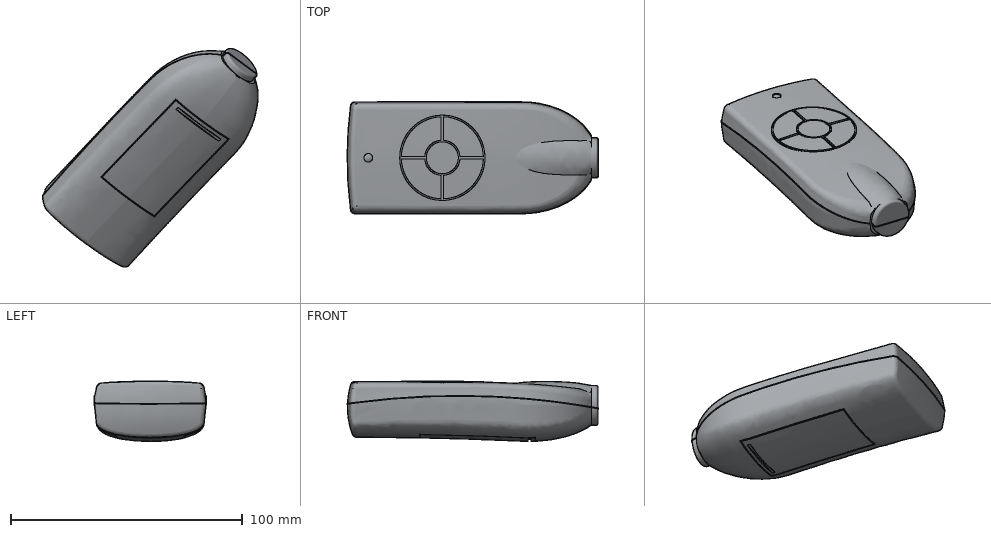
import cadquery as cq
import math


LENGTH = 108.22
HALF_WIDTH = 24.02
NOSE_START_X = 75.0
NOSE_REACH = 33.0
BODY_END_X = 105.3
TAPER = 0.972

TOP_EDGE_Z = 25.35
TOP_HALF_WIDTH = 20.8
TOP_NOSE_REACH = 26.6
TOP_CROWN_RADIUS = 333.0
TOP_DROP_START_X = 40.0
TOP_DROP_RADIUS = 705.0
CORNER_LOW_Z = 22.75

PARTING_PEAK_X = 48.0
PARTING_PEAK_Z = 19.75
PARTING_RADIUS = 333.0
CORNER_PULL = 0.55
CORNER_RISE = CORNER_LOW_Z - PARTING_PEAK_Z
LIP_HEIGHT = 0.35
LIP_OVERHANG = 0.15

BELLY_X = 78.0
BELLY_RISE = 1.85
BELLY_NOSE_REACH = 31.8
BELLY_NOSE_HEIGHT = 14.7
BELLY_SIDE_PULL = 0.63
BELLY_BOTTOM_PULL = 0.6
BELLY_SIDE_SHARE = 0.44

END_PLAN_RADIUS = 177.0
END_SIDE_RADIUS = 34.0
END_CENTER_Z = 15.0
END_FILLET = 2.0
END_HALF_HEIGHT = 20.0

COLLAR_Z = 15.65
COLLAR_RADIUS = 8.65
COLLAR_RIM_FILLET = 1.0
COLLAR_START_X = BODY_END_X
TONGUE_SECTIONS = [
    (72.5, 10.8, 9.5),
    (79.0, 12.4, 10.2),
    (86.0, 12.6, 10.35),
    (95.0, 11.65, 10.05),
    (101.0, 10.7, 9.5),
    (COLLAR_START_X, COLLAR_RADIUS, COLLAR_RADIUS),
]

KEYPAD_X = 41.0
KEYPAD_RADIUS = 18.4
KEY_OUTER_RADIUS = 17.7
CENTER_GAP_OUTER_RADIUS = 7.6
CENTER_KEY_RADIUS = 6.9
KEY_GAP = 1.2
KEYPAD_FLOOR_Z = 25.1
KEY_PROUD = 0.13

LAMP_X = 9.05
LAMP_RADIUS = 1.85
LAMP_DEPTH = 0.5

COVER_START_X = 31.2
COVER_END_X = 81.3
COVER_HALF_WIDTH = 15.0
COVER_GAP = 0.25
COVER_GAP_DEPTH = 0.5
NOTCH_X = 78.7
NOTCH_LENGTH = 1.3
NOTCH_TOP_Z = 1.0
NOTCH_HALF_WIDTH = 12.0

SECTION_XS = [-2.0, 6.0, 20.0, 35.0, 52.0, 66.0, 74.0, 80.0, 87.0, 93.0, 98.0, 102.0, BODY_END_X]
ELLIPSE_LIMIT = 0.99
MARGIN = 5.0


def ellipse_share(x, start, reach):
    """Fraction of full height left on an ellipse quadrant that begins at start."""
    along = min(max(x - start, 0) / reach, ELLIPSE_LIMIT)
    return math.sqrt(1 - along**2)


def parting_z(x):
    return PARTING_PEAK_Z - (x - PARTING_PEAK_X) ** 2 / (2 * PARTING_RADIUS)


def top_edge_z(x):
    return TOP_EDGE_Z - max(x - TOP_DROP_START_X, 0) ** 2 / (2 * TOP_DROP_RADIUS)


def top_half_width(x):
    return TOP_HALF_WIDTH * ellipse_share(x, NOSE_START_X, TOP_NOSE_REACH)


def crown_z(x):
    """Height of the crowned top face on the symmetry plane."""
    return top_edge_z(x) + TOP_CROWN_RADIUS - math.sqrt(TOP_CROWN_RADIUS**2 - top_half_width(x) ** 2)


def bottom_z(x):
    if x < BELLY_X:
        return BELLY_RISE * (1 - (x / BELLY_X) ** 2)
    return BELLY_NOSE_HEIGHT * (1 - ellipse_share(x, BELLY_X, BELLY_NOSE_REACH))


def section(x, grow):
    """Closed cross-section wire of the shell at x, widened by grow."""
    nose_share = ellipse_share(x, NOSE_START_X, NOSE_REACH)
    half = HALF_WIDTH * nose_share + grow
    side = half * TAPER
    top_half = top_half_width(x)
    edge_z = top_edge_z(x)
    corner_z = CORNER_LOW_Z if x < PARTING_PEAK_X else parting_z(x) + CORNER_RISE
    seam_z = parting_z(x)
    low_z = bottom_z(x)
    belly_share = 1 - (1 - BELLY_SIDE_SHARE) * nose_share
    round_z = low_z + belly_share * (seam_z - low_z)
    lead = (side - top_half) * CORNER_PULL
    corner = [
        (top_half, edge_z),
        (top_half + lead, edge_z - lead * math.tan(math.asin(top_half / TOP_CROWN_RADIUS))),
        (side, corner_z + (edge_z - corner_z) * CORNER_PULL),
        (side, corner_z),
    ]
    belly = [
        (side, round_z),
        (side, round_z - (round_z - low_z) * BELLY_SIDE_PULL),
        (side * BELLY_BOTTOM_PULL, low_z),
        (0, low_z),
    ]

    def mirrored(points):
        return [(-y, z) for y, z in reversed(points)]

    plane = cq.Workplane("YZ", origin=(x, 0, 0))
    return (
        plane.moveTo(-top_half, edge_z)
        .threePointArc((0, crown_z(x)), (top_half, edge_z))
        .bezier(corner, includeCurrent=False)
        .spline([(half, seam_z), (side, round_z)], tangents=[(0, -1), (0, -1)], includeCurrent=True)
        .bezier(belly)
        .bezier(mirrored(belly))
        .spline([(-half, seam_z), (-side, corner_z)], tangents=[(0, 1), (0, 1)], includeCurrent=True)
        .bezier(mirrored(corner))
        .wire()
        .val()
    )


def shell(grow):
    """Lofted body with the doubly curved blunt end."""
    body = cq.Workplane(cq.Solid.makeLoft([section(x, grow) for x in SECTION_XS]))
    rim_radius = END_PLAN_RADIUS - END_SIDE_RADIUS + math.sqrt(END_SIDE_RADIUS**2 - END_HALF_HEIGHT**2) + grow
    end = (
        cq.Workplane("XZ", origin=(END_PLAN_RADIUS, 0, END_CENTER_Z))
        .moveTo(0, -END_HALF_HEIGHT)
        .lineTo(rim_radius, -END_HALF_HEIGHT)
        .threePointArc((END_PLAN_RADIUS + grow, 0), (rim_radius, END_HALF_HEIGHT))
        .lineTo(0, END_HALF_HEIGHT)
        .close()
        .revolve(360, (0, 0), (0, 1))
    )
    body = body.intersect(end)
    return body.faces("<X").edges().fillet(END_FILLET)


def tongue_section(x, half_width, half_height):
    plane = cq.Workplane("YZ", origin=(x, 0, COLLAR_Z))
    return plane.ellipse(half_width, half_height).wire().val()


def collar(grow):
    """Round collar whose front part rises through the top face as a tongue."""
    tongue = cq.Solid.makeLoft([tongue_section(x, w + grow, h + grow) for x, w, h in TONGUE_SECTIONS])
    ring = (
        cq.Workplane("YZ", origin=(COLLAR_START_X, 0, COLLAR_Z))
        .circle(COLLAR_RADIUS + grow)
        .extrude(LENGTH + grow - COLLAR_START_X)
        .faces(">X")
        .edges()
        .fillet(COLLAR_RIM_FILLET)
    )
    return ring.union(cq.Workplane(tongue))


def housing(grow):
    return shell(grow).union(collar(grow))


def seam_slab():
    """Thin arched slab that follows the parting line through the whole part."""
    start_x = -MARGIN
    end_x = LENGTH + MARGIN
    half = LIP_HEIGHT / 2

    def point(x, offset):
        return (x, parting_z(x) + offset)

    return (
        cq.Workplane("XZ")
        .moveTo(*point(start_x, half))
        .threePointArc(point(PARTING_PEAK_X, half), point(end_x, half))
        .lineTo(*point(end_x, -half))
        .threePointArc(point(PARTING_PEAK_X, -half), point(start_x, -half))
        .close()
        .extrude(HALF_WIDTH + MARGIN, both=True)
    )


def keypad_disc(radius):
    return cq.Workplane("XY", origin=(KEYPAD_X, 0, KEYPAD_FLOOR_Z)).circle(radius).extrude(MARGIN)


def keys(body):
    """Round centre key and four ring sectors, slightly proud of the top face."""
    ring = keypad_disc(KEY_OUTER_RADIUS).cut(keypad_disc(CENTER_GAP_OUTER_RADIUS))
    for length, width in ((2 * KEYPAD_RADIUS, KEY_GAP), (KEY_GAP, 2 * KEYPAD_RADIUS)):
        gap = cq.Workplane("XY", origin=(KEYPAD_X, 0, KEYPAD_FLOOR_Z)).rect(length, width).extrude(MARGIN)
        ring = ring.cut(gap)
    center = keypad_disc(CENTER_KEY_RADIUS)
    raised = body.translate((0, 0, KEY_PROUD))
    return [raised.intersect(center), raised.intersect(ring)]


def lamp_recess():
    """Round pocket in the top face with a shallow dome left standing on its floor."""
    floor_z = crown_z(LAMP_X) - LAMP_DEPTH
    pocket = cq.Workplane("XY", origin=(LAMP_X, 0, floor_z)).circle(LAMP_RADIUS).extrude(MARGIN)
    dome_radius = (LAMP_RADIUS**2 + LAMP_DEPTH**2) / (2 * LAMP_DEPTH)
    dome = cq.Workplane("XY", origin=(LAMP_X, 0, floor_z + LAMP_DEPTH - dome_radius)).sphere(dome_radius)
    return pocket.cut(dome)


def cover_gap():
    """Narrow frame that outlines the battery cover; its depth follows the bottom."""
    length = COVER_END_X - COVER_START_X
    width = 2 * COVER_HALF_WIDTH
    height = PARTING_PEAK_Z / 2
    center_x = (COVER_START_X + COVER_END_X) / 2
    return (
        cq.Workplane("XY", origin=(center_x, 0, -MARGIN))
        .rect(length, width)
        .rect(length - 2 * COVER_GAP, width - 2 * COVER_GAP)
        .extrude(height + MARGIN)
    )


def notch():
    """Fingernail notch that opens the battery cover."""
    return (
        cq.Workplane("XY", origin=(NOTCH_X, 0, NOTCH_TOP_Z))
        .rect(NOTCH_LENGTH, 2 * NOTCH_HALF_WIDTH)
        .extrude(-MARGIN)
    )


body = shell(0)
part = body.union(collar(0))
part = part.union(housing(LIP_OVERHANG).intersect(seam_slab()))
part = part.cut(keypad_disc(KEYPAD_RADIUS))
for key in keys(body):
    part = part.union(key)
part = part.cut(lamp_recess())
part = part.cut(cover_gap().cut(body.translate((0, 0, COVER_GAP_DEPTH))))
result = part.cut(notch())